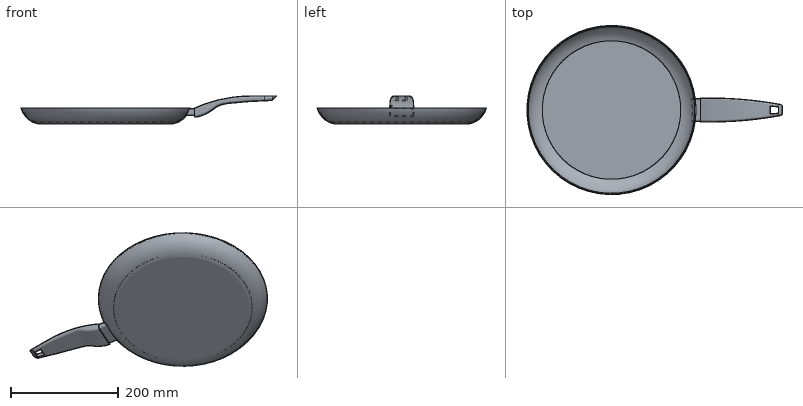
import cadquery as cq
import math

rim_radius = 157.5
pan_height = 30.0
flat_radius = 123.0
floor_radius = 129.0
wall = 2.5
outer_bend = 40.5
inner_bend = outer_bend - wall

wall_run = rim_radius - flat_radius
wall_chord = math.hypot(wall_run, pan_height)
centre_offset = math.sqrt(outer_bend**2 - (wall_chord / 2)**2)
bend_r = (flat_radius + rim_radius) / 2 - centre_offset * pan_height / wall_chord
bend_z = pan_height / 2 + centre_offset * wall_run / wall_chord

stub_bottom = 15.5
stub_top = 28.5
stub_width = 43.0
stub_inner_x = 143.0
stub_overlap = 4.8
stub_fillet = 3.5

handle_start = 165.5
overall_length = 476.0
handle_end = overall_length - rim_radius
handle_top = 52.5
handle_half_width = 22.5
tip_half_width = 9.75
taper_start = 185.5
crest_x = 269.5
heel_top = 29.5
tip_bottom = 44.0
tip_slant = 8.5
handle_fillet = 4.0
underside = [(handle_start, 13.0), (174.5, 14.05), (185.5, 18.0), (196.5, 24.5), (206.0, 31.5),
             (215.0, 35.5), (228.5, 38.3), (255.5, 41.0), (281.5, 42.6), (handle_end - tip_slant, tip_bottom)]

hole_start = 296.0
hole_end = 311.0
hole_half_start = 7.0
hole_half_end = 5.5


def bend_point(radius, angle):
    """Point (r, z) on a wall arc, angle measured from straight down."""
    return (bend_r + radius * math.sin(angle), bend_z - radius * math.cos(angle))


def arc_from_level(start, end):
    """Midpoint of the arc that leaves start parallel to x and reaches end."""
    run = end[0] - start[0]
    drop = start[1] - end[1]
    radius = (run**2 + drop**2) / (2 * drop)
    half_angle = math.asin(run / radius) / 2
    return (start[0] + radius * math.sin(half_angle),
            start[1] - radius * (1 - math.cos(half_angle)))


rim_angle_outer = math.acos((bend_z - pan_height) / outer_bend)
rim_angle_inner = math.acos((bend_z - pan_height) / inner_bend)
flat_angle = math.asin((flat_radius - bend_r) / outer_bend)
floor_angle = math.asin((floor_radius - bend_r) / inner_bend)
floor_point = bend_point(inner_bend, floor_angle)


def revolve(profile):
    return profile.close().revolve(360, (0, 0, 0), (0, 1, 0))


def make_pan_body():
    return revolve(
        cq.Workplane("XZ").lineTo(flat_radius, 0)
        .threePointArc(bend_point(outer_bend, (flat_angle + rim_angle_outer) / 2), (rim_radius, pan_height))
        .lineTo(0, pan_height)
    )


def make_pan_cavity():
    return revolve(
        cq.Workplane("XZ").moveTo(0, floor_point[1]).lineTo(*floor_point)
        .threePointArc(bend_point(inner_bend, (floor_angle + rim_angle_inner) / 2),
                       bend_point(inner_bend, rim_angle_inner))
        .lineTo(0, pan_height)
    )


def make_stub():
    length = handle_start + stub_overlap - stub_inner_x
    stub = cq.Workplane("XY").box(length, stub_width, stub_top - stub_bottom, centered=(False, True, False))
    return stub.edges("|X").fillet(stub_fillet).translate((stub_inner_x, 0, stub_bottom))


def make_handle():
    heel = (handle_start, heel_top)
    crest = (crest_x, handle_top)
    mirrored_mid = arc_from_level((-crest_x, handle_top), (-handle_start, heel_top))
    arch_mid = (-mirrored_mid[0], mirrored_mid[1])
    side_profile = (
        cq.Workplane("XZ").moveTo(*heel)
        .threePointArc(arch_mid, crest)
        .lineTo(handle_end, handle_top)
        .lineTo(*underside[-1])
        .spline(underside[-2::-1], includeCurrent=True)
        .close().extrude(2 * handle_half_width)
        .translate((0, handle_half_width, 0))
    )
    taper = (taper_start, handle_half_width)
    tip = (handle_end, tip_half_width)
    mid = arc_from_level(taper, tip)
    plan = (
        cq.Workplane("XY").moveTo(handle_start, -handle_half_width)
        .lineTo(taper[0], -taper[1])
        .threePointArc((mid[0], -mid[1]), (tip[0], -tip[1]))
        .lineTo(*tip)
        .threePointArc(mid, taper)
        .lineTo(handle_start, handle_half_width)
        .close().extrude(2 * handle_top)
    )
    return round_long_edges(side_profile.intersect(plan))


def round_long_edges(body):
    """Round the top and underside edges that run along both sides."""
    shortest = 2 * tip_slant
    along = [edge for edge in body.edges().vals()
             if abs(edge.endPoint().x - edge.startPoint().x) > shortest]
    return body.newObject(along).fillet(handle_fillet)


def make_hanging_hole():
    return (
        cq.Workplane("XY")
        .polyline([(hole_start, -hole_half_start), (hole_end, -hole_half_end),
                   (hole_end, hole_half_end), (hole_start, hole_half_start)])
        .close().extrude(2 * handle_top)
    )


pan = make_pan_body().union(make_stub()).cut(make_pan_cavity())
handle = make_handle().cut(make_hanging_hole())
result = pan.union(handle)